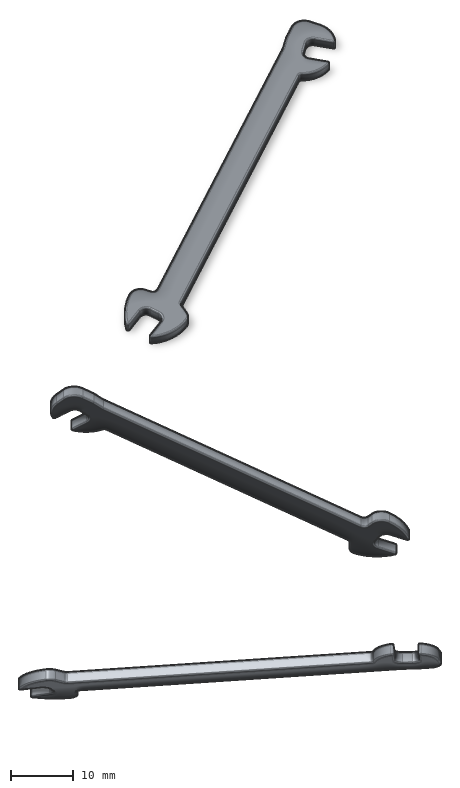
import cadquery as cq

THICKNESS = 2.0
EDGE_RADIUS = 0.3

SHAFT_WIDTH = 4.5
HALF_SHAFT = SHAFT_WIDTH / 2

JAW_OPENING = 3.95
JAW_TILT = 10.0
SEAT_CORNER_RADIUS = 1.2
OPENING_REACH = 10.0

LOWER_SEAT = (-1.0, 5.02)
UPPER_SEAT = (0.9, 63.8)

UPPER_LEFT = -HALF_SHAFT - UPPER_SEAT[0]
UPPER_RIGHT = HALF_SHAFT - UPPER_SEAT[0]
FLANK_X = -3.5
FLANK_BOTTOM = 0.8
FLANK_RAMP_BOTTOM = -1.5
CROWN_Y = 5.25
CROWN_RADIUS = 2.23
CROWN_RIGHT = 0.5
LONG_JAW_END = (4.4, 2.4)
SHORT_JAW_END = (5.05, -0.4)
SHORT_JAW_BULGE = (4.15, -3.25)
UPPER_NECK = (UPPER_RIGHT, -5.35)

LOWER_LEFT = -HALF_SHAFT - LOWER_SEAT[0]
LOWER_RIGHT = HALF_SHAFT - LOWER_SEAT[0]
SHELF_Y = 3.6
SHELF_RADIUS = 2.0
LOWER_FLANK_X = -5.0
LEFT_JAW_END = (-2.3, -5.1)
RIGHT_JAW_END = (0.5, -5.5)
RIGHT_JAW_BULGE = (4.4, -2.5)
RIGHT_SHOULDER = (5.6, 1.25)
LOWER_NECK = (LOWER_RIGHT, 3.1)

TIP_RADIUS = 0.32
SHOULDER_RADIUS = 1.5
SHELF_BLEND_RADIUS = 0.8
NECK_BLEND_RADIUS = 0.5


def shaft():
    length = UPPER_SEAT[1] - LOWER_SEAT[1]
    return (
        cq.Workplane("XY")
        .center(0, LOWER_SEAT[1] + length / 2)
        .rect(SHAFT_WIDTH, length)
        .extrude(THICKNESS)
    )


def upper_head():
    """Hooked head: long rounded jaw at the end, short pointed jaw below it."""
    return (
        cq.Workplane("XY")
        .center(*UPPER_SEAT)
        .moveTo(UPPER_LEFT, FLANK_RAMP_BOTTOM)
        .lineTo(FLANK_X, FLANK_BOTTOM)
        .lineTo(FLANK_X, CROWN_Y - CROWN_RADIUS)
        .tangentArcPoint((FLANK_X + CROWN_RADIUS, CROWN_Y), relative=False)
        .lineTo(CROWN_RIGHT, CROWN_Y)
        .tangentArcPoint(LONG_JAW_END, relative=False)
        .lineTo(*SHORT_JAW_END)
        .threePointArc(SHORT_JAW_BULGE, UPPER_NECK)
        .lineTo(UPPER_LEFT, UPPER_NECK[1])
        .close()
        .extrude(THICKNESS)
    )


def lower_head():
    """Open-ended head with two tapered jaws of unequal length."""
    return (
        cq.Workplane("XY")
        .center(*LOWER_SEAT)
        .moveTo(LOWER_LEFT, SHELF_Y)
        .lineTo(LOWER_FLANK_X + SHELF_RADIUS, SHELF_Y)
        .tangentArcPoint((LOWER_FLANK_X, SHELF_Y - SHELF_RADIUS), relative=False)
        .tangentArcPoint(LEFT_JAW_END, relative=False)
        .lineTo(*RIGHT_JAW_END)
        .threePointArc(RIGHT_JAW_BULGE, RIGHT_SHOULDER)
        .lineTo(*LOWER_NECK)
        .close()
        .extrude(THICKNESS)
    )


def opening(seat, direction):
    """Straight-sided jaw opening from the seat outward along a direction in degrees."""
    return (
        cq.Workplane("XY")
        .center(OPENING_REACH / 2, 0)
        .rect(OPENING_REACH, JAW_OPENING)
        .extrude(THICKNESS)
        .edges("|Z and <X")
        .fillet(SEAT_CORNER_RADIUS)
        .rotate((0, 0, 0), (0, 0, 1), direction)
        .translate((seat[0], seat[1], 0))
    )


def round_corner(solid, seat, corner, radius):
    """Round the upright edge nearest to a corner point given relative to a seat."""
    target = (seat[0] + corner[0], seat[1] + corner[1], THICKNESS / 2)
    return solid.edges("|Z").edges(cq.NearestToPointSelector(target)).fillet(radius)


ROUNDED_CORNERS = [
    (UPPER_SEAT, LONG_JAW_END, TIP_RADIUS),
    (UPPER_SEAT, SHORT_JAW_END, TIP_RADIUS),
    (LOWER_SEAT, LEFT_JAW_END, TIP_RADIUS),
    (LOWER_SEAT, RIGHT_JAW_END, TIP_RADIUS),
    (LOWER_SEAT, RIGHT_SHOULDER, SHOULDER_RADIUS),
    (LOWER_SEAT, (LOWER_LEFT, SHELF_Y), SHELF_BLEND_RADIUS),
    (LOWER_SEAT, LOWER_NECK, NECK_BLEND_RADIUS),
    (UPPER_SEAT, UPPER_NECK, NECK_BLEND_RADIUS),
]

body = shaft().union(upper_head()).union(lower_head())
body = body.cut(opening(UPPER_SEAT, JAW_TILT))
body = body.cut(opening(LOWER_SEAT, -90 - JAW_TILT))
for head_seat, corner_point, corner_radius in ROUNDED_CORNERS:
    body = round_corner(body, head_seat, corner_point, corner_radius)

result = body.faces("<Z or >Z").fillet(EDGE_RADIUS)